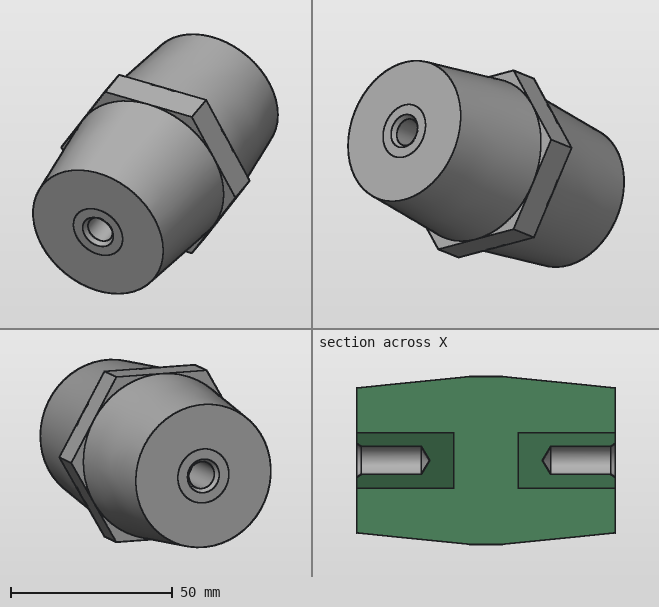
import cadquery as cq
import math

length = 80.0
hex_across_flats = 52.0
hex_across_corners = hex_across_flats / math.cos(math.radians(30))
collar_width = 10.0

root_diameter = hex_across_flats
end_diameter = 45.0

insert_diameter = 17.0
insert_depth = 30.0
hole_diameter = 8.5
hole_depth = 20.0
drill_point_angle = 118.0
mouth_diameter = 10.6
mouth_depth = 1.5

half_length = length / 2
half_collar = collar_width / 2


def make_insulator():
    """Hexagonal collar between two tapered barrels, with a blind pocket for the insert in each end."""
    barrels = (
        cq.Workplane("XY")
        .moveTo(0, -half_length)
        .lineTo(end_diameter / 2, -half_length)
        .lineTo(root_diameter / 2, -half_collar)
        .lineTo(root_diameter / 2, half_collar)
        .lineTo(end_diameter / 2, half_length)
        .lineTo(0, half_length)
        .close()
        .revolve(360, (0, 0, 0), (0, 1, 0))
    )
    collar = (
        cq.Workplane("XZ")
        .polygon(6, hex_across_corners)
        .extrude(half_collar, both=True)
    )
    body = barrels.union(collar)
    for end in (-1, 1):
        pocket = (
            cq.Workplane("XZ", origin=(0, end * half_length, 0))
            .circle(insert_diameter / 2)
            .extrude(end * insert_depth)
        )
        body = body.cut(pocket)
    return body


def make_insert(end):
    """Round insert with a countersunk, cone-bottomed blind hole, at the -Y (-1) or +Y (1) end."""
    hole_radius = hole_diameter / 2
    mouth_radius = mouth_diameter / 2
    point_depth = hole_radius / math.tan(math.radians(drill_point_angle / 2))

    def at_depth(depth):
        return end * (half_length - depth)

    return (
        cq.Workplane("XY")
        .moveTo(mouth_radius, at_depth(0))
        .lineTo(insert_diameter / 2, at_depth(0))
        .lineTo(insert_diameter / 2, at_depth(insert_depth))
        .lineTo(0, at_depth(insert_depth))
        .lineTo(0, at_depth(hole_depth + point_depth))
        .lineTo(hole_radius, at_depth(hole_depth))
        .lineTo(hole_radius, at_depth(mouth_depth))
        .close()
        .revolve(360, (0, 0, 0), (0, 1, 0))
    )


insulator = make_insulator()
inserts = [make_insert(end) for end in (-1, 1)]

result = cq.Compound.makeCompound([insulator.val(), *[insert.val() for insert in inserts]])